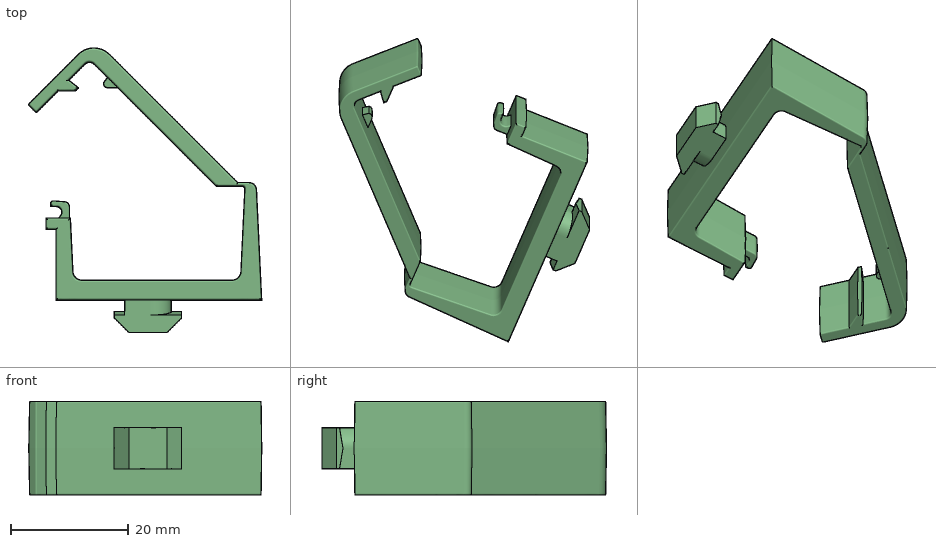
import cadquery as cq
import math

HEIGHT = 16.0
DRAFT = 0.75
EDGE_ROUND = 0.23
CORNER_REACH = 0.3

BASE_LEFT = -15.7
BASE_RIGHT = 19.4
FLOOR_Y = 3.45
FLOOR_ROUND = 1.5
WALL_LEAN = math.tan(math.radians(2.7))
INNER_LEFT = -12.7
INNER_RIGHT = 15.75

LIP_LEFT = -17.42
LIP_BOTTOM = 12.05
LIP_TOP = 14.05

HINGE_BOTTOM = 19.4
HINGE_TOP = 20.08
HINGE_INNER_ROUND = 0.4
HINGE_OUTER_ROUND = 1.3

ARM_THICKNESS = 3.03
LATCH_THICKNESS = 2.0
BEND_APEX = (-9.22, 44.57)
BEND_OUTER_ROUND = 3.75
BEND_INNER_ROUND = 1.2
LATCH_LENGTH = 15.86
LATCH_TIP_ROUND = 0.25
TOOTH_BOTTOM = 35.65
TOOTH_ROOT_Y = 37.5
TOOTH_TIP = (-11.8, 36.2)

NUB_HEIGHT = 4.0
NUB_LEFT = -7.58
NUB_BOTTOM = 36.2
NUB_SIDE = 0.9
NUB_SLOPE_RUN = 0.9
NUB_SLOPE_RISE = 1.2
NUB_ROUND = 0.7

HOOK_HEIGHT = 6.2
HOOK_RIGHT = -13.36
HOOK_LEFT = -16.6
HOOK_HEEL_TOP = 16.75
HOOK_TIP_TOP = 17.0
HOOK_TIP_BOTTOM = 15.95
HOOK_HEEL_ROUND = 0.9
HOOK_TIP_ROUND = 0.5
HOOK_EDGE_ROUND = 0.25
HOLLOW_BACK_X = -14.7
HOLLOW_BEND_Y = 14.72
HOLLOW_FOOT_X = -15.2
HOLLOW_ROUND = 0.9

NECK_WIDTH = 8.0
STUD_DEPTH = 7.0
HEAD_WIDTH = 11.5
HEAD_BOTTOM = -5.5
HEAD_CHAMFER = 2.5
HEAD_CREST = -1.9
HEAD_EDGE = -2.5

DIAGONAL = math.sqrt(0.5)


def inset(points, distance):
    """Polygon (counter-clockwise points) with every side moved inwards by distance."""
    moved = []
    for index, (x, y) in enumerate(points):
        before_x, before_y = points[index - 1]
        after_x, after_y = points[(index + 1) % len(points)]
        arrive = cq.Vector(x - before_x, y - before_y).normalized()
        leave = cq.Vector(after_x - x, after_y - y).normalized()
        slide = distance / arrive.cross(leave).z
        corner = cq.Vector(x, y) + (leave - arrive) * slide
        moved.append((corner.x, corner.y))
    return moved


def drafted_solid(points, height, rounds, edge_round):
    """Solid symmetric about Z = 0 that tapers to both ends from the outline.

    rounds lists (corner, radius) pairs for the upright edges; edge_round is for the end edges.
    """
    end_points = inset(points, height / 2 * math.tan(math.radians(DRAFT)))
    half = cq.Workplane("XY").polyline(points).close()
    half = half.workplane(offset=height / 2).polyline(end_points).close().loft(ruled=True)
    reach = cq.Vector(CORNER_REACH, CORNER_REACH, height / 8)
    for corner, radius in rounds:
        middle = cq.Vector(*corner, height / 4)
        box = cq.selectors.BoxSelector((middle - reach).toTuple(), (middle + reach).toTuple())
        half = half.edges(box).fillet(radius)
    if edge_round > 0:
        half = half.faces(">Z").edges().fillet(edge_round)
    return half.union(half.mirror("XY"))


def make_body():
    apex_x, apex_y = BEND_APEX
    arm_drop = ARM_THICKNESS / DIAGONAL
    latch_drop = LATCH_THICKNESS / DIAGONAL

    def arm_outer(y):
        return (apex_x + apex_y - y, y)

    def arm_inner(y):
        return (apex_x + apex_y - arm_drop - y, y)

    def latch_inner(y):
        return (apex_x - apex_y + latch_drop + y, y)

    tip_x = apex_x - LATCH_LENGTH * DIAGONAL
    tip_y = apex_y - LATCH_LENGTH * DIAGONAL
    tip_outer = (tip_x, tip_y)
    tip_inner = latch_inner(tip_y - LATCH_THICKNESS * DIAGONAL)
    inner_apex = arm_inner(apex_y - (arm_drop + latch_drop) / 2)
    tooth_heel = (TOOTH_TIP[0] - (TOOTH_TIP[1] - TOOTH_BOTTOM), TOOTH_BOTTOM)
    wall_top = (BASE_RIGHT - HINGE_TOP * WALL_LEAN, HINGE_TOP)
    hinge_corner = (INNER_RIGHT + (HINGE_BOTTOM - FLOOR_Y) * WALL_LEAN, HINGE_BOTTOM)
    floor_right = (INNER_RIGHT, FLOOR_Y)
    floor_left = (INNER_LEFT, FLOOR_Y)
    points = [
        (BASE_LEFT, 0),
        (BASE_RIGHT, 0),
        wall_top,
        arm_outer(HINGE_TOP),
        BEND_APEX,
        tip_outer,
        tip_inner,
        latch_inner(TOOTH_BOTTOM),
        tooth_heel,
        TOOTH_TIP,
        latch_inner(TOOTH_ROOT_Y),
        inner_apex,
        arm_inner(HINGE_BOTTOM),
        hinge_corner,
        floor_right,
        floor_left,
        (INNER_LEFT - (LIP_TOP - FLOOR_Y) * WALL_LEAN, LIP_TOP),
        (LIP_LEFT, LIP_TOP),
        (LIP_LEFT, LIP_BOTTOM),
        (BASE_LEFT, LIP_BOTTOM),
    ]
    rounds = [
        (wall_top, HINGE_OUTER_ROUND),
        (BEND_APEX, BEND_OUTER_ROUND),
        (tip_outer, LATCH_TIP_ROUND),
        (tip_inner, LATCH_TIP_ROUND),
        (inner_apex, BEND_INNER_ROUND),
        (hinge_corner, HINGE_INNER_ROUND),
        (floor_right, FLOOR_ROUND),
        (floor_left, FLOOR_ROUND),
    ]
    return drafted_solid(points, HEIGHT, rounds, EDGE_ROUND)


def make_nub():
    arm_centre = sum(BEND_APEX) - ARM_THICKNESS / 2 / DIAGONAL
    tip = (NUB_LEFT, NUB_BOTTOM)
    shoulder_x = NUB_LEFT + NUB_SLOPE_RUN
    points = [
        tip,
        (arm_centre - NUB_BOTTOM, NUB_BOTTOM),
        (shoulder_x, arm_centre - shoulder_x),
        (shoulder_x, NUB_BOTTOM + NUB_SIDE + NUB_SLOPE_RISE),
        (NUB_LEFT, NUB_BOTTOM + NUB_SIDE),
    ]
    return drafted_solid(points, NUB_HEIGHT, [(tip, NUB_ROUND)], 0)


def make_hook():
    root_y = (LIP_BOTTOM + LIP_TOP) / 2
    heel = (HOOK_RIGHT, HOOK_HEEL_TOP)
    tip = (HOOK_LEFT, HOOK_TIP_TOP)
    hollow_top = (HOLLOW_BACK_X, HOOK_TIP_BOTTOM)
    hollow_bend = (HOLLOW_BACK_X, HOLLOW_BEND_Y)
    points = [
        (HOLLOW_FOOT_X, root_y),
        (HOOK_RIGHT, root_y),
        heel,
        tip,
        (HOOK_LEFT, HOOK_TIP_BOTTOM),
        hollow_top,
        hollow_bend,
        (HOLLOW_FOOT_X, LIP_TOP),
    ]
    rounds = [
        (heel, HOOK_HEEL_ROUND),
        (tip, HOOK_TIP_ROUND),
        (hollow_top, HOLLOW_ROUND),
        (hollow_bend, HOLLOW_ROUND),
    ]
    return drafted_solid(points, HOOK_HEIGHT, rounds, HOOK_EDGE_ROUND)


def make_stud():
    half_neck = NECK_WIDTH / 2
    half_depth = STUD_DEPTH / 2
    half_head = HEAD_WIDTH / 2
    neck = (
        cq.Workplane("XZ", origin=(0, FLOOR_Y / 2, 0))
        .moveTo(-half_neck, half_depth)
        .lineTo(half_neck - half_depth, half_depth)
        .radiusArc((half_neck, 0), half_depth)
        .lineTo(half_neck, -half_depth)
        .lineTo(half_depth - half_neck, -half_depth)
        .radiusArc((-half_neck, 0), half_depth)
        .close()
        .extrude(FLOOR_Y / 2 - HEAD_EDGE)
    )
    head = (
        cq.Workplane("YZ", origin=(-half_head, 0, 0))
        .polyline([
            (HEAD_BOTTOM, -half_depth),
            (HEAD_EDGE, -half_depth),
            (HEAD_CREST, 0),
            (HEAD_EDGE, half_depth),
            (HEAD_BOTTOM, half_depth),
        ])
        .close()
        .extrude(HEAD_WIDTH)
    )
    head = head.faces("<Y").edges("|Z").chamfer(HEAD_CHAMFER)
    return neck.union(head)


result = make_body().union(make_nub()).union(make_hook()).union(make_stud())